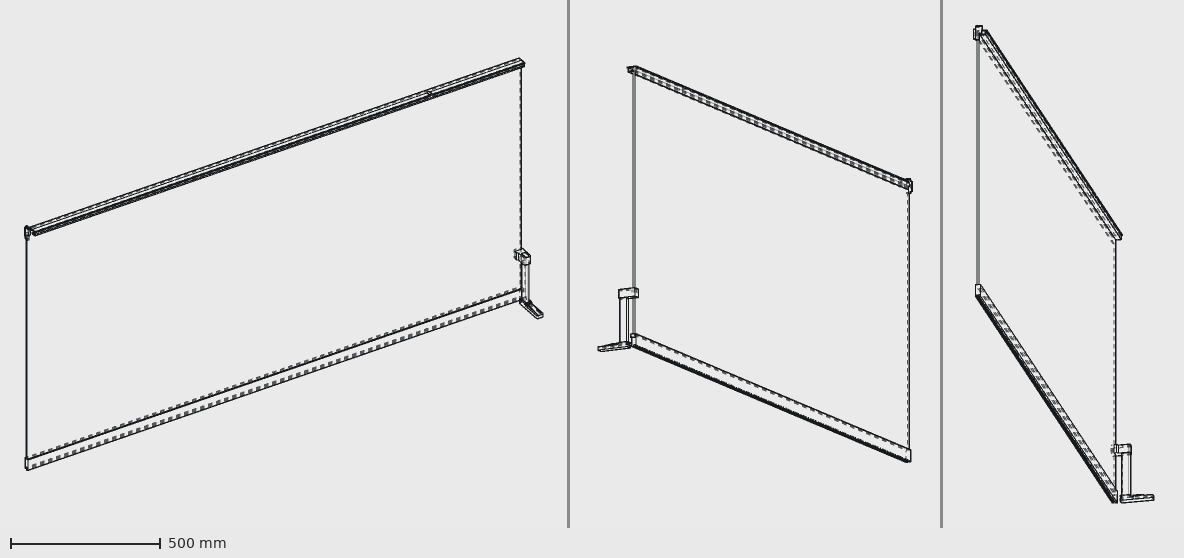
import cadquery as cq

TOTAL_X = 150.69
TOTAL_Y = 1956.3
TOTAL_Z = 972.39

PANEL_LEFT = 12.5
PANEL_THICK = 7.0
PANEL_RIGHT = PANEL_LEFT + PANEL_THICK
PANEL_START_Y = 2.0
PANEL_END_Y = 1950.0

BAR_CENTER_X = (PANEL_LEFT + PANEL_RIGHT) / 2
BAR_WIDTH = 17.0
BAR_BULGE = 0.3
BAR_HEIGHT = 42.0
BAR_START_Y = 1.5
BAR_GROOVE_LEFT = 11.0
BAR_GROOVE_WIDTH = 6.0
BAR_GROOVE_DEPTH = 5.0
BAR_TAB_HEIGHT = 12.0
RUNNER_LEFT = 19.5

RAIL_START_Y = 14.0
RAIL_FLANGE_START_Y = 20.0
RAIL_LEFT = 7.0
RAIL_TOP = 961.5
RAIL_BEAD_HEIGHT = 5.0
RAIL_BEAD_DEPTH = 1.0
RAIL_FACE_BOTTOM = 945.0
RAIL_BOTTOM = 933.0
RAIL_TAPER = 1.3
RAIL_FLANGE_RIGHT = 42.0
RAIL_FLANGE_THICK = 3.0
RAIL_LIP_RIGHT = 39.0
RAIL_WALL = 3.0
RAIL_FLOOR_TOP = 947.0
RAIL_NOTCH_Y = 1583.0
RAIL_NOTCH_WIDTH = 11.0

CAP_START_Y = 1.5
CAP_END_Y = 9.0
CAP_WING_RECESS = 1.5
CAP_BOTTOM = 922.0
CAP_WING_BOTTOM = 927.0
CAP_LOWER_RIGHT = 20.0
CAP_BLOCK_RIGHT = 27.0
CAP_BLOCK_BOTTOM = 943.0
CAP_TOWER_RIGHT = 30.0
CAP_TOWER_STEP_HEIGHT = 3.5
CAP_TOWER_STEP = 0.5

STAND_WIDTH = 26.0
STAND_START_Y = TOTAL_Y - STAND_WIDTH
STAND_CENTER_Y = TOTAL_Y - STAND_WIDTH / 2
SPINE_WIDTH = 14.0

FOOT_LEFT = 37.5
FOOT_THICK = 11.5
FOOT_CORNER = 5.0
FOOT_STEP_HEIGHT = 8.0

RIB_LEFT = 81.0
RIB_FLAT_RIGHT = 99.0
RIB_RIGHT = 147.0
RIB_RISE = 6.0

POST_LEFT = 43.0
POST_RIGHT = 72.5
POST_CORNER = 6.0
SOCKET_RIGHT = 76.0
COLLAR_LEFT = 38.5
COLLAR_BOTTOM = 14.6
COLLAR_TOP = 18.0

CLAMP_BOTTOM = 170.5
CLAMP_TOP = 199.5
POST_PROUD = 1.0
JAW_LEFT = 8.0
JAW_RIGHT = 33.0
JAW_BULGE = 1.0
JAW_WIDTH = 31.0
JAW_CHAMFER = 5.0
CLAMP_CORNER = 5.0


def box(x0, x1, y0, y1, z0, z1):
    """Axis-aligned block between two corners."""
    return cq.Workplane("XY").box(x1 - x0, y1 - y0, z1 - z0, centered=False).translate((x0, y0, z0))


def along_y(outline, y0, y1):
    """Extrude a closed XZ outline from y0 to y1."""
    return outline.extrude(y0 - y1).translate((0, y0, 0))


def bar_outline():
    """Cross-section of the bottom bar, with its two sides as shallow arcs."""
    left = BAR_CENTER_X - BAR_WIDTH / 2
    right = BAR_CENTER_X + BAR_WIDTH / 2
    middle = BAR_HEIGHT / 2
    return (
        cq.Workplane("XZ")
        .moveTo(left, 0)
        .lineTo(right, 0)
        .threePointArc((right + BAR_BULGE, middle), (right, BAR_HEIGHT))
        .lineTo(left, BAR_HEIGHT)
        .threePointArc((left - BAR_BULGE, middle), (left, 0))
        .close()
    )


def make_panel():
    bottom = BAR_HEIGHT / 2
    return box(PANEL_LEFT, PANEL_RIGHT, PANEL_START_Y, PANEL_END_Y, bottom, RAIL_FLOOR_TOP)


def make_bottom_bar():
    left = BAR_CENTER_X - BAR_WIDTH / 2
    right = BAR_CENTER_X + BAR_WIDTH / 2
    groove_right = BAR_GROOVE_LEFT + BAR_GROOVE_WIDTH
    bar = along_y(bar_outline(), BAR_START_Y, PANEL_END_Y)
    groove = box(BAR_GROOVE_LEFT, groove_right, 0, TOTAL_Y, 0, BAR_GROOVE_DEPTH)
    runner_end = box(RUNNER_LEFT, right, 0, BAR_START_Y, 0, BAR_GROOVE_DEPTH)
    end_tab = box(left, right, PANEL_END_Y, TOTAL_Y, BAR_HEIGHT - BAR_TAB_HEIGHT, BAR_HEIGHT)
    return bar.cut(groove).union(runner_end).union(end_tab)


def make_head_rail():
    face_left = RAIL_LEFT + RAIL_BEAD_DEPTH
    bead_bottom = RAIL_TOP - RAIL_BEAD_HEIGHT
    flange_bottom = RAIL_TOP - RAIL_FLANGE_THICK
    floor_bottom = RAIL_FLOOR_TOP - RAIL_WALL
    lip_left = RAIL_LIP_RIGHT - RAIL_WALL
    y0 = RAIL_FLANGE_START_Y
    y1 = PANEL_END_Y

    wall_outline = cq.Workplane("XZ").polyline([
        (face_left, bead_bottom),
        (face_left, RAIL_FACE_BOTTOM),
        (face_left + RAIL_TAPER, RAIL_BOTTOM),
        (PANEL_RIGHT, RAIL_BOTTOM),
        (PANEL_RIGHT, bead_bottom),
    ]).close()
    wall = along_y(wall_outline, RAIL_START_Y, y1)
    bead = box(RAIL_LEFT, PANEL_RIGHT, y0, y1, bead_bottom, RAIL_TOP)
    flange = box(PANEL_RIGHT, RAIL_FLANGE_RIGHT, y0, y1, flange_bottom, RAIL_TOP)
    floor = box(PANEL_LEFT, RAIL_LIP_RIGHT, y0, y1, floor_bottom, RAIL_FLOOR_TOP)
    lip = box(lip_left, RAIL_LIP_RIGHT, y0, y1, floor_bottom, RAIL_TOP)
    notch = box(
        PANEL_RIGHT, RAIL_FLANGE_RIGHT,
        RAIL_NOTCH_Y - RAIL_NOTCH_WIDTH / 2, RAIL_NOTCH_Y + RAIL_NOTCH_WIDTH / 2,
        flange_bottom, RAIL_TOP,
    )
    return wall.union(bead).union(flange).union(floor).union(lip).cut(notch)


def make_end_cap():
    bead_bottom = RAIL_TOP - RAIL_BEAD_HEIGHT
    plate_outline = cq.Workplane("XZ").polyline([
        (RAIL_LEFT, CAP_BOTTOM),
        (CAP_LOWER_RIGHT, CAP_BOTTOM),
        (CAP_LOWER_RIGHT, CAP_BLOCK_BOTTOM),
        (CAP_BLOCK_RIGHT, CAP_BLOCK_BOTTOM),
        (CAP_TOWER_RIGHT, RAIL_TOP),
        (RAIL_LEFT, RAIL_TOP),
    ]).close()
    plate = along_y(plate_outline, CAP_START_Y, CAP_END_Y)
    tower_step_z = TOTAL_Z - CAP_TOWER_STEP_HEIGHT
    tower = box(RAIL_LEFT, CAP_TOWER_RIGHT, CAP_START_Y, CAP_END_Y, RAIL_TOP, tower_step_z)
    tower_top = box(
        RAIL_LEFT + CAP_TOWER_STEP, CAP_TOWER_RIGHT - CAP_TOWER_STEP,
        CAP_START_Y + CAP_TOWER_STEP, CAP_END_Y - CAP_TOWER_STEP,
        tower_step_z, TOTAL_Z,
    )
    wing = box(0, RAIL_LEFT, CAP_START_Y + CAP_WING_RECESS, CAP_END_Y, CAP_WING_BOTTOM, RAIL_TOP)
    tongue_left = RAIL_LEFT + RAIL_BEAD_DEPTH
    tongue = box(tongue_left, PANEL_RIGHT, CAP_END_Y, RAIL_START_Y, RAIL_FACE_BOTTOM, bead_bottom)
    return plate.union(tower).union(tower_top).union(wing).union(tongue)


def make_foot():
    plate = box(FOOT_LEFT, TOTAL_X, STAND_START_Y, TOTAL_Y, 0, FOOT_THICK)
    plate = plate.edges("|Z").fillet(FOOT_CORNER)
    step = box(FOOT_LEFT, POST_LEFT, STAND_START_Y, TOTAL_Y, FOOT_STEP_HEIGHT, FOOT_THICK)
    rib_outline = cq.Workplane("XZ").polyline([
        (RIB_LEFT, 0),
        (RIB_LEFT, FOOT_THICK + RIB_RISE),
        (RIB_FLAT_RIGHT, FOOT_THICK + RIB_RISE),
        (RIB_RIGHT, FOOT_THICK),
        (RIB_RIGHT, 0),
    ]).close()
    rib = along_y(rib_outline, STAND_CENTER_Y - SPINE_WIDTH / 2, STAND_CENTER_Y + SPINE_WIDTH / 2)
    return plate.cut(step).union(rib)


def make_post():
    post = box(
        POST_LEFT, POST_RIGHT,
        STAND_CENTER_Y - SPINE_WIDTH / 2, STAND_CENTER_Y + SPINE_WIDTH / 2,
        0, CLAMP_TOP + POST_PROUD,
    )
    post = post.edges("|Z and >X").fillet(POST_CORNER)
    socket = box(POST_LEFT, SOCKET_RIGHT, STAND_START_Y, TOTAL_Y, 0, COLLAR_BOTTOM)
    collar = box(COLLAR_LEFT, POST_RIGHT, STAND_START_Y, TOTAL_Y, COLLAR_BOTTOM, COLLAR_TOP)
    return post.union(socket).union(collar)


def make_clamp():
    middle = (CLAMP_BOTTOM + CLAMP_TOP) / 2
    quarter = (CLAMP_TOP - CLAMP_BOTTOM) / 4
    jaw_start = TOTAL_Y - JAW_WIDTH
    shoulder_x = JAW_LEFT + JAW_BULGE
    arc_x = JAW_LEFT + JAW_BULGE / 4
    jaw_outline = (
        cq.Workplane("XZ")
        .moveTo(JAW_RIGHT, CLAMP_BOTTOM)
        .lineTo(JAW_RIGHT, CLAMP_TOP)
        .lineTo(shoulder_x, CLAMP_TOP)
        .threePointArc((arc_x, middle + quarter), (JAW_LEFT, middle))
        .threePointArc((arc_x, middle - quarter), (shoulder_x, CLAMP_BOTTOM))
        .close()
    )
    jaw_plan = cq.Workplane("XY").polyline([
        (0, jaw_start + JAW_CHAMFER),
        (JAW_LEFT, jaw_start + JAW_CHAMFER),
        (JAW_LEFT + JAW_CHAMFER, jaw_start),
        (JAW_RIGHT - JAW_CHAMFER, jaw_start),
        (JAW_RIGHT, jaw_start + JAW_CHAMFER),
        (JAW_RIGHT, TOTAL_Y),
        (0, TOTAL_Y),
    ]).close().extrude(TOTAL_Z)
    jaw = along_y(jaw_outline, jaw_start, TOTAL_Y).intersect(jaw_plan)
    block = box(JAW_RIGHT, POST_RIGHT, STAND_START_Y, TOTAL_Y, CLAMP_BOTTOM, CLAMP_TOP)
    block = block.edges(">X and |Z").fillet(CLAMP_CORNER)
    return jaw.union(block)


result = (
    make_panel()
    .union(make_bottom_bar())
    .union(make_head_rail())
    .union(make_end_cap())
    .union(make_foot())
    .union(make_post())
    .union(make_clamp())
)